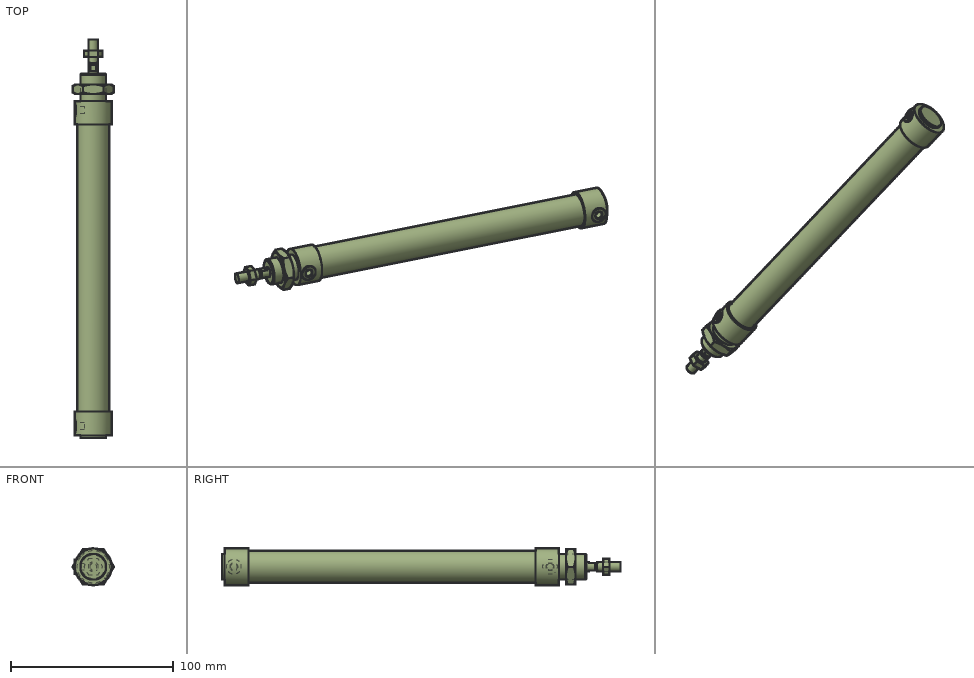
import cadquery as cq
import math


TOTAL_LENGTH = 246.0
REAR_SPIGOT_LENGTH = 1.7
REAR_CAP_FRONT = 16.5
FRONT_CAP_REAR = 193.5
FRONT_CAP_FRONT = 207.9
NECK_END = 224.8

CAP_DIAMETER = 23.0
TUBE_DIAMETER = 20.0
NECK_DIAMETER = 16.0
NECK_CHAMFER = 0.7

PORT_PAD_DIAMETER = 9.0
PORT_HOLE_DIAMETER = 4.2
PORT_MOUTH_DIAMETER = 5.0
PORT_DEPTH = 6.0
PORT_PAD_FACE = CAP_DIAMETER / 2
REAR_PORT_Y = 7.5
FRONT_PORT_Y = 202.5

ROD_DIAMETER = 6.2
ROD_FLATS_WIDTH = 5.0
ROD_FLATS_LENGTH = 3.7
ROD_GROOVE_DIAMETER = 4.2
ROD_GROOVE_LENGTH = 1.2
ROD_THREAD_LENGTH = 14.5

MOUNTING_NUT_CORNERS = 25.3
MOUNTING_NUT_THICKNESS = 6.0
MOUNTING_NUT_REAR = 212.3
MOUNTING_NUT_CHAMFER_ANGLE = 30.0
ROD_NUT_FLATS = 10.0
ROD_NUT_CORNERS = ROD_NUT_FLATS / math.cos(math.pi / 6)
ROD_NUT_THICKNESS = 4.0
ROD_NUT_REAR = 235.2


def plane_at(y):
    """Plane across the axis at station y, with its normal along +Y."""
    return cq.Workplane(cq.Plane(origin=(0, y, 0), xDir=(1, 0, 0), normal=(0, 1, 0)))


def rod_section(diameter, start, end):
    """Cylinder on the Y axis between two stations."""
    return plane_at(start).circle(diameter / 2).extrude(end - start)


def port_cylinder(diameter, y, depth):
    """Cylinder reaching inward along +X from the port pad face."""
    plane = cq.Plane(origin=(-PORT_PAD_FACE, y, 0), xDir=(0, 1, 0), normal=(1, 0, 0))
    return cq.Workplane(plane).circle(diameter / 2).extrude(depth)


def port_hole(y):
    """Blind port hole widened by a 45 degree countersink at its mouth."""
    countersink_depth = (PORT_MOUTH_DIAMETER - PORT_HOLE_DIAMETER) / 2
    cone = cq.Solid.makeCone(
        PORT_MOUTH_DIAMETER / 2,
        PORT_HOLE_DIAMETER / 2,
        countersink_depth,
        cq.Vector(-PORT_PAD_FACE, y, 0),
        cq.Vector(1, 0, 0),
    )
    return port_cylinder(PORT_HOLE_DIAMETER, y, PORT_DEPTH).union(cq.Workplane(cone))


def make_housing():
    """Tube with both end caps, the front mounting neck and the two countersunk ports."""
    neck = rod_section(NECK_DIAMETER, FRONT_CAP_FRONT, NECK_END)
    neck = neck.faces(">Y").chamfer(NECK_CHAMFER)
    housing = (
        rod_section(NECK_DIAMETER, 0, REAR_SPIGOT_LENGTH)
        .union(rod_section(CAP_DIAMETER, REAR_SPIGOT_LENGTH, REAR_CAP_FRONT))
        .union(rod_section(TUBE_DIAMETER, REAR_CAP_FRONT, FRONT_CAP_REAR))
        .union(rod_section(CAP_DIAMETER, FRONT_CAP_REAR, FRONT_CAP_FRONT))
        .union(neck)
    )
    for port_y in (REAR_PORT_Y, FRONT_PORT_Y):
        housing = housing.union(port_cylinder(PORT_PAD_DIAMETER, port_y, PORT_DEPTH))
        housing = housing.cut(port_hole(port_y))
    return housing


def make_piston_rod():
    """Rod standing on the neck face, with wrench flats, a groove and the thread end."""
    thread_start = TOTAL_LENGTH - ROD_THREAD_LENGTH
    groove_start = thread_start - ROD_GROOVE_LENGTH
    flats_start = groove_start - ROD_FLATS_LENGTH
    flats = (
        plane_at(flats_start)
        .rect(ROD_DIAMETER, ROD_FLATS_WIDTH)
        .extrude(ROD_FLATS_LENGTH)
        .intersect(rod_section(ROD_DIAMETER, flats_start, groove_start))
    )
    return (
        rod_section(ROD_DIAMETER, NECK_END, flats_start)
        .union(flats)
        .union(rod_section(ROD_GROOVE_DIAMETER, groove_start, thread_start))
        .union(rod_section(ROD_DIAMETER, thread_start, TOTAL_LENGTH))
    )


def make_hex_nut(corners, thickness, rear, bore):
    """Plain hexagon nut with two corners on the X axis."""
    return plane_at(rear).polygon(6, corners).circle(bore / 2).extrude(thickness)


def make_mounting_nut():
    """Nut on the neck, with its corners chamfered on both faces."""
    nut = make_hex_nut(MOUNTING_NUT_CORNERS, MOUNTING_NUT_THICKNESS, MOUNTING_NUT_REAR, NECK_DIAMETER)
    corner_radius = MOUNTING_NUT_CORNERS / 2
    face_radius = corner_radius * math.cos(math.pi / 6)
    drop = (corner_radius - face_radius) * math.tan(math.radians(MOUNTING_NUT_CHAMFER_ANGLE))
    front = MOUNTING_NUT_REAR + MOUNTING_NUT_THICKNESS
    chamfer_envelope = (
        cq.Workplane("XY")
        .moveTo(0, MOUNTING_NUT_REAR)
        .lineTo(face_radius, MOUNTING_NUT_REAR)
        .lineTo(corner_radius, MOUNTING_NUT_REAR + drop)
        .lineTo(corner_radius, front - drop)
        .lineTo(face_radius, front)
        .lineTo(0, front)
        .close()
        .revolve(360, (0, 0, 0), (0, 1, 0))
    )
    return nut.intersect(chamfer_envelope)


housing = make_housing()
piston_rod = make_piston_rod()
mounting_nut = make_mounting_nut()
rod_nut = make_hex_nut(ROD_NUT_CORNERS, ROD_NUT_THICKNESS, ROD_NUT_REAR, ROD_DIAMETER)

result = cq.Compound.makeCompound(
    [housing.val(), piston_rod.val(), mounting_nut.val(), rod_nut.val()]
)